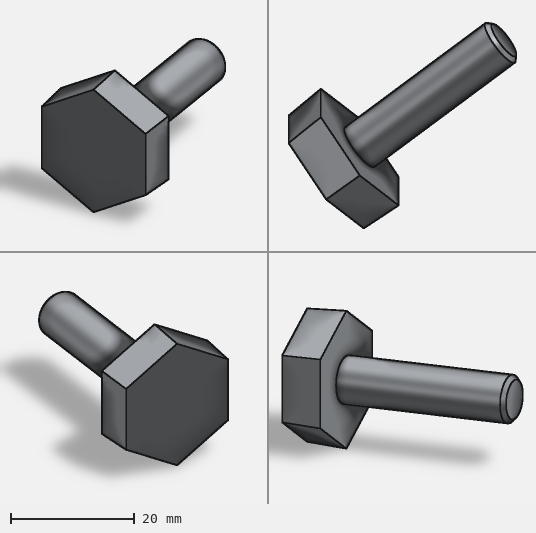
import cadquery as cq
import math

total_length = 37.0
head_height = 7.0
across_flats = 20.0
head_taper = 2.7
shank_diameter = 8.0
tip_chamfer = 0.75

shank_length = total_length - head_height
across_corners = across_flats / math.cos(math.radians(30))


def make_head():
    """Tapered hexagon with corners up and down, widest at Y = 0."""
    return (
        cq.Workplane("XZ")
        .transformed(rotate=(0, 0, 90))
        .polygon(6, across_corners)
        .extrude(head_height, taper=head_taper)
    )


def make_shank():
    """Round shank along +Y with a chamfered tip."""
    return (
        cq.Workplane("XZ")
        .circle(shank_diameter / 2)
        .extrude(-shank_length)
        .faces(">Y")
        .chamfer(tip_chamfer)
    )


result = make_head().union(make_shank())